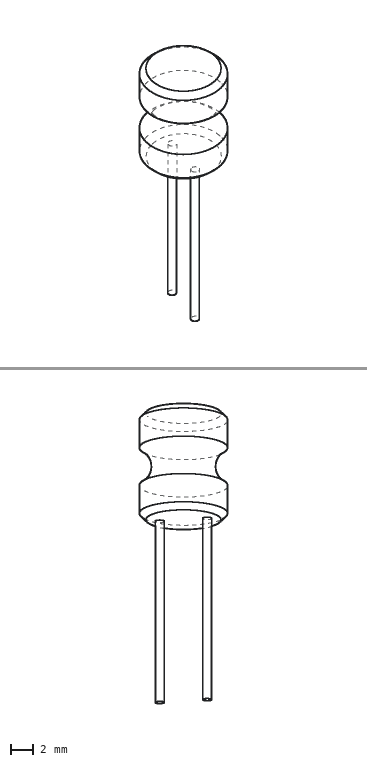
import cadquery as cq

total_height = 27.0
core_diameter = 8.0
core_height = 10.0
chamfer = 0.6

groove_width = 3.5
neck_diameter = 5.83

lead_diameter = 0.8
lead_spacing = 4.4
lead_length = total_height - core_height


def make_core():
    """Chamfered drum core with a concave waist, standing on Z = 0."""
    outer_radius = core_diameter / 2
    middle = core_height / 2
    groove_bottom = middle - groove_width / 2
    groove_top = middle + groove_width / 2
    return (
        cq.Workplane("XZ")
        .lineTo(outer_radius - chamfer, 0)
        .lineTo(outer_radius, chamfer)
        .lineTo(outer_radius, groove_bottom)
        .threePointArc((neck_diameter / 2, middle), (outer_radius, groove_top))
        .lineTo(outer_radius, core_height - chamfer)
        .lineTo(outer_radius - chamfer, core_height)
        .lineTo(0, core_height)
        .close()
        .revolve(360, (0, 0, 0), (0, 1, 0))
    )


def make_lead(x):
    """Straight round lead hanging from the underside of the core."""
    return cq.Workplane("XY").center(x, 0).circle(lead_diameter / 2).extrude(-lead_length)


core = make_core()
leads = [make_lead(side * lead_spacing / 2) for side in (-1, 1)]

result = cq.Compound.makeCompound([core.val(), *[lead.val() for lead in leads]])